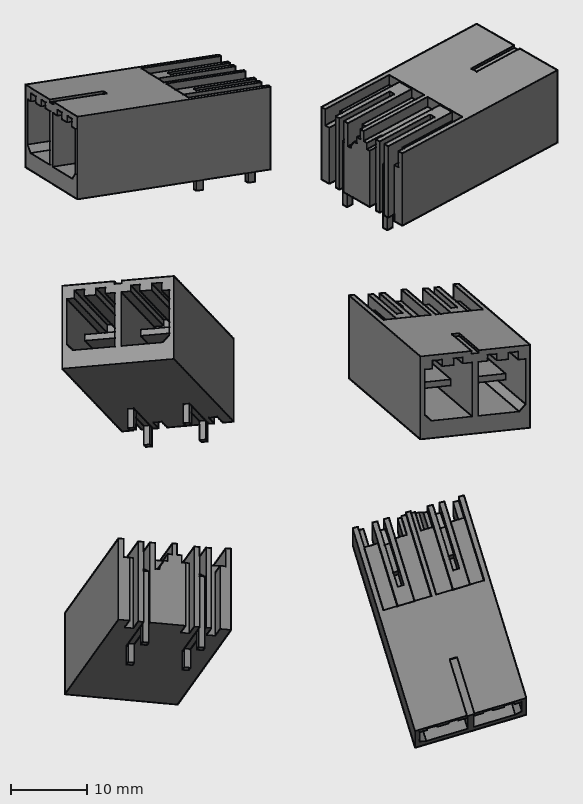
import cadquery as cq


length = 28.3
width = 15.25
height = 11.4
pole_pitch = 7.58
pole_sides = (-1, 1)
pole_x = pole_pitch / 2

cavity_depth = 15.56
cavity_floor_z = 2.4
cavity_inner_x = 0.42
cavity_outer_x = 7.0
cavity_chamfer = 0.9
keyway_top_z = 10.65
outer_shoulder_z = 9.55
middle_rib_z = 9.74
inner_shoulder_z = 9.82
inner_keyway_x = (1.73, 3.0)
outer_keyway_x = (4.58, 5.97)

groove_width = 1.02
groove_depth = 0.37
groove_length = 7.87

deck_length = 11.65
outer_wall = 0.74
center_wall = 0.65
fork_width = 2.32
fork_drop = 0.17
channel_depth = 1.55
channel_floor_z = height - channel_depth
deck_outer_x = width / 2 - outer_wall
deck_inner_x = center_wall / 2

notch_length = 2.6
opening_width = 4.67
ledge_drop = 1.0
ledge_z = channel_floor_z - ledge_drop
ledge_inner_x = 0.95
step_run = 0.62
step_drop = 1.25
step_radius = 2.25

metal = 0.85
slot_length = 9.17
rear_setback = 0.57
plate_front_y = length - slot_length
plate_rear_y = length - rear_setback
plate_top_z = 8.5
slope_run = 2.24
slope_drop = 1.13
low_part_length = 2.52
blade_width = 4.4
blade_top_z = 6.1
blade_tip_y = 5.1
pin_length = 2.6
pin_width = 1.02


def box(x_range, y_range, z_range):
    """Box between two limits on each axis; the limits may come in either order."""
    lows, highs = zip(*(sorted(limits) for limits in (x_range, y_range, z_range)))
    sizes = [high - low for low, high in zip(lows, highs)]
    return cq.Workplane("XY").box(*sizes, centered=False).translate(lows)


def side_box(side, inner_x, outer_x, y_range, z_range):
    """Box on one side of the housing, given by its distances from the middle plane."""
    return box((side * inner_x, side * outer_x), y_range, z_range)


def plug_cavity(side):
    """Cavity with two keyways in its ceiling and a chamfered outer floor corner."""
    outline = [
        (cavity_inner_x, cavity_floor_z),
        (cavity_outer_x - cavity_chamfer, cavity_floor_z),
        (cavity_outer_x, cavity_floor_z + cavity_chamfer),
        (cavity_outer_x, outer_shoulder_z),
        (outer_keyway_x[1], outer_shoulder_z),
        (outer_keyway_x[1], keyway_top_z),
        (outer_keyway_x[0], keyway_top_z),
        (outer_keyway_x[0], middle_rib_z),
        (inner_keyway_x[1], middle_rib_z),
        (inner_keyway_x[1], keyway_top_z),
        (inner_keyway_x[0], keyway_top_z),
        (inner_keyway_x[0], inner_shoulder_z),
        (cavity_inner_x, inner_shoulder_z),
    ]
    points = [(side * x, z) for x, z in outline]
    return cq.Workplane("XZ").polyline(points).close().extrude(-cavity_depth)


def deck_channels(side):
    """Two channels either side of the fork, with ledges and wire openings at the rear."""
    deck_y = (length - deck_length, length)
    notch_y = (length - notch_length, length)
    fork_inner_x = pole_x - fork_width / 2
    fork_outer_x = pole_x + fork_width / 2
    opening_inner_x = pole_x - opening_width / 2
    opening_outer_x = pole_x + opening_width / 2

    cuts = side_box(side, deck_inner_x, deck_outer_x, deck_y, (height - fork_drop, height))
    cuts = cuts.union(side_box(side, deck_inner_x, fork_inner_x, deck_y, (channel_floor_z, height)))
    cuts = cuts.union(side_box(side, fork_outer_x, deck_outer_x, deck_y, (channel_floor_z, height)))
    cuts = cuts.union(side_box(side, ledge_inner_x, fork_inner_x, notch_y, (ledge_z, height)))
    cuts = cuts.union(side_box(side, fork_outer_x, deck_outer_x, notch_y, (ledge_z, height)))
    cuts = cuts.union(side_box(side, opening_inner_x, fork_inner_x, notch_y, (0, height)))
    return cuts.union(side_box(side, fork_outer_x, opening_outer_x, notch_y, (0, height)))


def rounded_step():
    """Filling of the right pole's inner wire opening: a rounded flank down to a lower flat."""
    start_x = pole_x - opening_width / 2
    fork_x = pole_x - fork_width / 2
    flat_z = ledge_z - step_drop
    return (
        cq.Workplane("XZ", origin=(0, length, 0))
        .moveTo(start_x, 0)
        .lineTo(start_x, ledge_z)
        .radiusArc((start_x + step_run, flat_z), step_radius)
        .lineTo(fork_x, flat_z)
        .lineTo(fork_x, 0)
        .close()
        .extrude(notch_length)
    )


def terminal_recess(side):
    """Slot through the fork and floor for the plate, and the hole that carries the blade."""
    x = side * pole_x
    slot = box((x - metal / 2, x + metal / 2), (plate_front_y, length), (0, height))
    blade_hole = box(
        (x - blade_width / 2, x + blade_width / 2),
        (cavity_depth, plate_front_y),
        (blade_top_z - metal, blade_top_z),
    )
    return slot.union(blade_hole)


def make_housing():
    body = box((-width / 2, width / 2), (0, length), (0, height))
    groove = box((-groove_width / 2, groove_width / 2), (0, groove_length), (height - groove_depth, height))
    body = body.cut(groove)
    for side in pole_sides:
        body = body.cut(plug_cavity(side))
        body = body.cut(deck_channels(side))
        body = body.cut(terminal_recess(side))
    return body.union(rounded_step())


def make_terminal(side):
    """Upright plate with a sloped rear top, two pins below it and a flat blade in front."""
    x = side * pole_x
    high_part_y = plate_front_y + low_part_length
    outline = [
        (plate_front_y, 0),
        (plate_front_y, blade_top_z),
        (high_part_y, blade_top_z),
        (high_part_y, plate_top_z),
        (plate_rear_y - slope_run, plate_top_z),
        (plate_rear_y, plate_top_z - slope_drop),
        (plate_rear_y, 0),
    ]
    terminal = (
        cq.Workplane("YZ", origin=(x, 0, 0)).polyline(outline).close().extrude(metal / 2, both=True)
    )
    for pin_y in (plate_front_y, plate_rear_y - pin_width):
        pin = box((x - metal / 2, x + metal / 2), (pin_y, pin_y + pin_width), (-pin_length, 0))
        terminal = terminal.union(pin)
    blade = box(
        (x - blade_width / 2, x + blade_width / 2),
        (blade_tip_y, plate_front_y),
        (blade_top_z - metal, blade_top_z),
    )
    return terminal.union(blade)


housing = make_housing()
terminals = [make_terminal(side) for side in pole_sides]

result = cq.Compound.makeCompound([housing.val(), *[terminal.val() for terminal in terminals]])